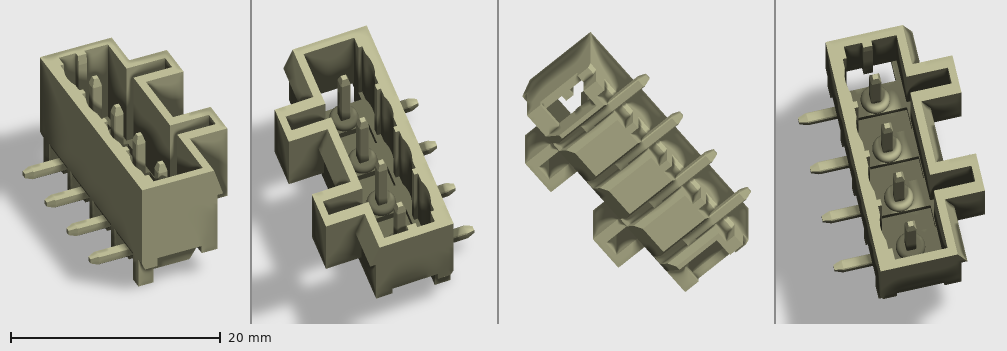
import cadquery as cq

PIN_COUNT = 4
PITCH = 5.0
END_MARGIN = 4.2
HEIGHT = 12.0
LENGTH = (PIN_COUNT - 1) * PITCH + 2 * END_MARGIN
PIN_X = [(i - (PIN_COUNT - 1) / 2) * PITCH for i in range(PIN_COUNT)]
PIN_Y = 3.9

REAR_Y = 7.9
REAR_INNER_Y = 6.75
FRONT_INNER_Y = 1.6
END_WALL = 0.85
FLOOR_Z = 3.45
CAVITY_LENGTH = LENGTH - 2 * END_WALL

REAR_FOOT_Y = 6.25
REAR_FOOT_Z = 2.6
FRONT_EDGE_Z = 2.5
FRONT_CHAMFER_DEPTH = 0.3
FRONT_CHAMFER_RISE = 0.7

RIDGE_TOP_Y = 7.55
RIDGE_TIP_Y = 8.5
RIDGE_BOTTOM_Z = 9.0

TAB_CENTRES_X = [-5.8, 4.2]
TAB_WIDTH = 3.8
TAB_REAR_Y = 11.5
TAB_BOTTOM_Z = 4.0
TAB_SLOT_WIDTH = 1.6
TAB_SLOT_REAR_Y = 10.8

SCALLOP_WIDTH = 4.37
SCALLOP_Y = 1.22
SCALLOP_DEEPEST_Y = 0.97
SCALLOP_RADIUS = 3.5

COLLAR_DIAMETER = 2.8
COLLAR_HEIGHT = 0.6
COLLAR_FILLET = 0.4
POCKET_FRONT_Y = 1.9
POCKET_REAR_Y = 6.68
POCKET_DEPTH = 0.85
POCKET_WIDTH = PITCH - COLLAR_DIAMETER
BLOCK_LENGTH = (PIN_COUNT - 1) * PITCH + COLLAR_DIAMETER

OPENING_WIDTH = 4.25
OPENING_DEPTH = 1.0
FLARE_WIDTH = 1.94
FLARE_TOP_Z = 1.18

KEY_WIDTH = 0.9
KEY_REACH = 0.65
KEY_TOP_REACH = 0.5
KEY_LEAD_IN = 1.0
KEY_Y = 3.83

PIN_SIZE = 1.0
PIN_TIP_SIZE = 0.5
PIN_TAPER = 0.85
PIN_EDGE_CHAMFER = 0.1
PIN_TOP_Z = 11.25
TAIL_Z = FRONT_EDGE_Z - PIN_SIZE / 2
TAIL_TIP_Y = -3.6


def block(x_min, x_max, y_min, y_max, z_min, z_max):
    """Axis-aligned box given by its limits."""
    size = (x_max - x_min, y_max - y_min, z_max - z_min)
    return cq.Workplane("XY").box(*size, centered=False).translate((x_min, y_min, z_min))


def centred_block(x, width, y_min, y_max, z_min, z_max):
    """Axis-aligned box centred on x."""
    return block(x - width / 2, x + width / 2, y_min, y_max, z_min, z_max)


def side_profile(points, length):
    """Extrude a (Y, Z) outline along X, centred on X = 0."""
    return cq.Workplane("YZ").polyline(points).close().extrude(length / 2, both=True)


def shell():
    """Full-length body: front wall, rear wall with its latching ridge, and floor."""
    return side_profile(
        [
            (0, HEIGHT),
            (0, FRONT_EDGE_Z + FRONT_CHAMFER_RISE),
            (FRONT_CHAMFER_DEPTH, FRONT_EDGE_Z),
            (FRONT_INNER_Y, FRONT_EDGE_Z),
            (FRONT_INNER_Y, FLOOR_Z),
            (REAR_FOOT_Y, FLOOR_Z),
            (REAR_FOOT_Y, REAR_FOOT_Z),
            (REAR_Y, REAR_FOOT_Z),
            (REAR_Y, RIDGE_BOTTOM_Z),
            (RIDGE_TIP_Y, RIDGE_BOTTOM_Z),
            (RIDGE_TOP_Y, HEIGHT),
        ],
        LENGTH,
    )


def front_legs():
    """Front wall carried down to the feet, opened in front of every pin."""
    legs = centred_block(0, CAVITY_LENGTH, 0, FRONT_INNER_Y, 0, FLOOR_Z)
    for x in PIN_X:
        opening = side_profile(
            [
                (0, 0),
                (0, FRONT_EDGE_Z + FRONT_CHAMFER_RISE),
                (FRONT_CHAMFER_DEPTH, FRONT_EDGE_Z),
                (OPENING_DEPTH, FRONT_EDGE_Z),
                (OPENING_DEPTH, 0),
            ],
            OPENING_WIDTH,
        )
        legs = legs.cut(opening.translate((x, 0, 0)))
    return legs


def base_block():
    """Block under the floor that holds the pin bends, with a sloping rear face."""
    return side_profile(
        [
            (FRONT_INNER_Y, 0),
            (FRONT_INNER_Y, FLOOR_Z),
            (REAR_Y, FLOOR_Z),
            (REAR_Y, REAR_FOOT_Z),
            (REAR_FOOT_Y, 0),
        ],
        BLOCK_LENGTH,
    )


def scallop(x):
    """Relief in the front wall: a shallow step with a deeper arc in front of the pin."""
    step = centred_block(x, SCALLOP_WIDTH, SCALLOP_Y, PIN_Y, FLOOR_Z, HEIGHT)
    arc_centre = (x, SCALLOP_DEEPEST_Y + SCALLOP_RADIUS, FLOOR_Z)
    arc = cq.Workplane("XY", origin=arc_centre).circle(SCALLOP_RADIUS).extrude(HEIGHT - FLOOR_Z)
    front_half = centred_block(x, SCALLOP_WIDTH, 0, PIN_Y, FLOOR_Z, HEIGHT)
    return step.union(arc.intersect(front_half))


def tail_slot(x):
    """Slot through the base for one pin tail, flared towards the feet."""
    half = PIN_SIZE / 2
    half_flare = FLARE_WIDTH / 2
    outline = [
        (-half_flare, 0),
        (-half, FLARE_TOP_Z),
        (-half, FRONT_EDGE_Z),
        (half, FRONT_EDGE_Z),
        (half, FLARE_TOP_Z),
        (half_flare, 0),
    ]
    return cq.Workplane("XZ", origin=(x, 0, 0)).polyline(outline).close().extrude(-REAR_Y)


def collar(x):
    """Round collar with a rounded rim around one pin."""
    return (
        cq.Workplane("XY", origin=(x, PIN_Y, FLOOR_Z))
        .circle(COLLAR_DIAMETER / 2)
        .extrude(COLLAR_HEIGHT)
        .faces(">Z")
        .edges()
        .fillet(COLLAR_FILLET)
    )


def key():
    """Upright rib on the left end wall, with a sloping lead-in at its top."""
    wall_x = -LENGTH / 2 + END_WALL
    outline = [
        (wall_x, FLOOR_Z),
        (wall_x, HEIGHT),
        (wall_x + KEY_TOP_REACH, HEIGHT),
        (wall_x + KEY_REACH, HEIGHT - KEY_LEAD_IN),
        (wall_x + KEY_REACH, FLOOR_Z),
    ]
    key_middle = cq.Workplane("XZ", origin=(0, KEY_Y, 0))
    return key_middle.polyline(outline).close().extrude(KEY_WIDTH / 2, both=True)


def pin_bar(length):
    """Square bar along +Z with chamfered long edges and a tapered end; starts at the origin."""
    bar = (
        cq.Workplane("XY")
        .rect(PIN_SIZE, PIN_SIZE)
        .extrude(length)
        .edges("|Z")
        .chamfer(PIN_EDGE_CHAMFER)
    )
    shank = cq.Workplane("XY").rect(PIN_SIZE, PIN_SIZE).extrude(length - PIN_TAPER)
    taper = (
        shank.faces(">Z")
        .workplane()
        .rect(PIN_SIZE, PIN_SIZE)
        .workplane(offset=PIN_TAPER)
        .rect(PIN_TIP_SIZE, PIN_TIP_SIZE)
        .loft()
    )
    return bar.intersect(taper)


def pin(x):
    """Right-angle pin: a contact standing in the shroud and a tail leaving at the front."""
    elbow = cq.Workplane("XY").box(PIN_SIZE, PIN_SIZE, PIN_SIZE)
    contact = pin_bar(PIN_TOP_Z - TAIL_Z)
    tail = pin_bar(PIN_Y - TAIL_TIP_Y).rotate((0, 0, 0), (1, 0, 0), 90)
    return elbow.union(contact).union(tail).translate((x, PIN_Y, TAIL_Z))


def build_housing(pins):
    """Housing with its tabs, cavity, scallops, slots, collars, pockets and key, holed to fit the pins."""
    housing = shell().union(front_legs()).union(base_block())
    for x in TAB_CENTRES_X:
        tab = centred_block(x, TAB_WIDTH, REAR_INNER_Y, TAB_REAR_Y, TAB_BOTTOM_Z, HEIGHT)
        housing = housing.union(tab)

    housing = housing.cut(
        centred_block(0, CAVITY_LENGTH, FRONT_INNER_Y, REAR_INNER_Y, FLOOR_Z, HEIGHT)
    )
    for x in TAB_CENTRES_X:
        housing = housing.cut(
            centred_block(x, TAB_SLOT_WIDTH, PIN_Y, TAB_SLOT_REAR_Y, FLOOR_Z, HEIGHT)
        )
    for x in PIN_X:
        housing = housing.cut(scallop(x)).cut(tail_slot(x)).union(collar(x))
    pocket_z = FLOOR_Z - POCKET_DEPTH
    for x in PIN_X[:-1]:
        housing = housing.cut(
            centred_block(x + PITCH / 2, POCKET_WIDTH, POCKET_FRONT_Y, POCKET_REAR_Y, pocket_z, FLOOR_Z)
        )
    housing = housing.union(key())
    for each_pin in pins:
        housing = housing.cut(each_pin)
    return housing


pins = [pin(x) for x in PIN_X]
housing = build_housing(pins)
housing_solid = housing.solids().val()
pin_solids = [each_pin.solids().val() for each_pin in pins]
result = cq.Compound.makeCompound([housing_solid, *pin_solids])